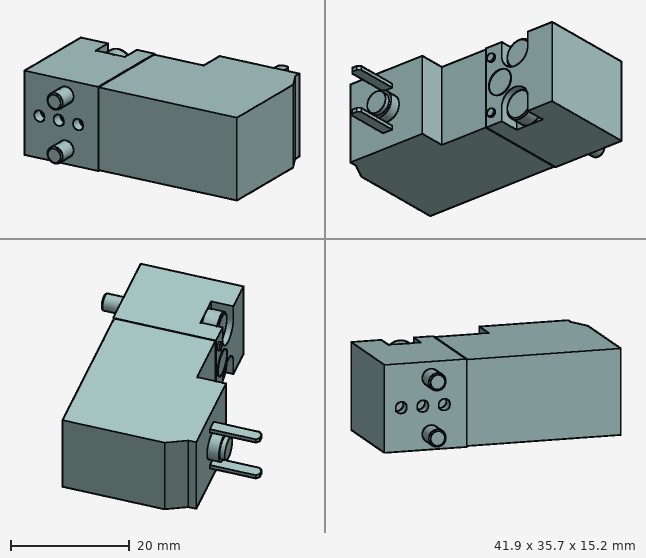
import cadquery as cq

LENGTH = 41.85
BLOCK_LENGTH = 14.55
BLOCK_DEPTH = 18.25
BLOCK_HEIGHT = 15.2

HOUSING_INSET = 0.13
HOUSING_HEIGHT = BLOCK_HEIGHT - 2 * HOUSING_INSET
HOUSING_STEP_Y = BLOCK_DEPTH - HOUSING_INSET
HOUSING_BACK_Y = 23.25
STEP_X = 24.27
CORNER_X = 40.05
CORNER_Y = 21.85

SCREW_X = 8.2
SCREW_Z = 4.85
SHANK_DIAMETER = 3.0
SHANK_PROJECTION = 3.75
HEAD_DIAMETER = 5.5
HEAD_HEIGHT = 2.9
SCREW_CHAMFER = 0.25
POCKET_WIDTH = 5.7
POCKET_DEPTH = 3.95

PORT_DIAMETER = 2.0
PORT_DEPTH = 2.1
PORT_CENTER_X = 6.8
PORT_PITCH = 3.8

DISC_DIAMETER = 4.8
DISC_HEIGHT = 0.13
DISC_X = 11.4
PIN_DIAMETER = 1.5
PIN_HEIGHT = 0.38
PIN_X = 13.22
PIN_Z = 5.27

CONNECTOR_X = 31.85
BOSS_DIAMETER = 5.0
BOSS_HEIGHT = 2.05
TIP_DIAMETER = 4.0
TIP_HEIGHT = 0.9
TERMINAL_WIDTH = 2.0
TERMINAL_THICKNESS = 0.75
TERMINAL_LENGTH = 8.65
TERMINAL_CHAMFER = 0.5
TERMINAL_Z = 4.0

OVERLAP = 0.4


def cylinder_y(x, z, y_start, height, diameter):
    """Cylinder growing toward +Y from y_start."""
    base = cq.Workplane("XZ", origin=(x, y_start, z))
    return base.circle(diameter / 2).extrude(-height)


def valve_block():
    size = (BLOCK_LENGTH, BLOCK_DEPTH, BLOCK_HEIGHT)
    return cq.Workplane("XY").box(*size, centered=(False, False, True))


def housing():
    outline = [
        (BLOCK_LENGTH - OVERLAP, HOUSING_INSET),
        (LENGTH, HOUSING_INSET),
        (LENGTH, BLOCK_DEPTH),
        (CORNER_X, CORNER_Y),
        (CORNER_X, HOUSING_BACK_Y),
        (STEP_X, HOUSING_BACK_Y),
        (STEP_X, HOUSING_STEP_Y),
        (BLOCK_LENGTH - OVERLAP, HOUSING_STEP_Y),
    ]
    return cq.Workplane("XY").polyline(outline).close().extrude(HOUSING_HEIGHT / 2, both=True)


def screw_pocket(side):
    """Round-bottomed pocket at the back, open to the top (side 1) or bottom (side -1)."""
    floor_y = BLOCK_DEPTH - POCKET_DEPTH
    depth = POCKET_DEPTH + OVERLAP
    opening = cq.Workplane("XY").box(
        POCKET_WIDTH, depth, BLOCK_HEIGHT / 2, centered=(True, False, True)
    )
    opening = opening.translate((SCREW_X, floor_y, side * (SCREW_Z + BLOCK_HEIGHT / 4)))
    return cylinder_y(SCREW_X, side * SCREW_Z, floor_y, depth, POCKET_WIDTH).union(opening)


def screw(side):
    """Screw head seated in its pocket, with the shank end standing out of the front."""
    z = side * SCREW_Z
    floor_y = BLOCK_DEPTH - POCKET_DEPTH
    head = cylinder_y(SCREW_X, z, floor_y - OVERLAP, HEAD_HEIGHT + OVERLAP, HEAD_DIAMETER)
    head = head.faces(">Y").chamfer(SCREW_CHAMFER)
    shank = cylinder_y(SCREW_X, z, -SHANK_PROJECTION, SHANK_PROJECTION + OVERLAP, SHANK_DIAMETER)
    shank = shank.faces("<Y").chamfer(SCREW_CHAMFER)
    return head, shank


def terminal(side):
    """Flat blade with clipped end corners."""
    size = (TERMINAL_WIDTH, TERMINAL_LENGTH + OVERLAP, TERMINAL_THICKNESS)
    blade = cq.Workplane("XY").box(*size, centered=(True, False, True))
    blade = blade.edges("|Z and >Y").chamfer(TERMINAL_CHAMFER)
    return blade.translate((CONNECTOR_X, HOUSING_BACK_Y - OVERLAP, side * TERMINAL_Z))


result = valve_block().union(housing())

disc_y = BLOCK_DEPTH - OVERLAP
result = result.union(cylinder_y(DISC_X, 0, disc_y, DISC_HEIGHT + OVERLAP, DISC_DIAMETER))

boss = cylinder_y(CONNECTOR_X, 0, HOUSING_BACK_Y - OVERLAP, BOSS_HEIGHT + OVERLAP, BOSS_DIAMETER)
tip_y = HOUSING_BACK_Y + BOSS_HEIGHT - OVERLAP
tip = cylinder_y(CONNECTOR_X, 0, tip_y, TIP_HEIGHT + OVERLAP, TIP_DIAMETER)
result = result.union(boss).union(tip)

for side in (-1, 1):
    head, shank = screw(side)
    pin = cylinder_y(PIN_X, side * PIN_Z, BLOCK_DEPTH - OVERLAP, PIN_HEIGHT + OVERLAP, PIN_DIAMETER)
    result = result.cut(screw_pocket(side)).union(head).union(shank)
    result = result.union(pin).union(terminal(side))

for index in (-1, 0, 1):
    port_x = PORT_CENTER_X + index * PORT_PITCH
    result = result.cut(cylinder_y(port_x, 0, 0, PORT_DEPTH, PORT_DIAMETER))

result = result.translate((-LENGTH / 2, 0, 0))